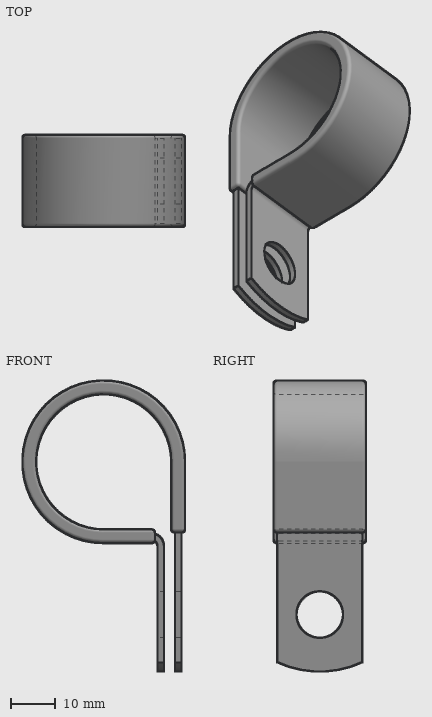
import cadquery as cq
import math


outer_diameter = 36.36
overall_height = 65.0
strap_thickness = 1.5
strap_width = 19.0
cushion_cover = 0.82
rounding_margin = 0.02
tab_gap = 2.38
vertical_leg_length = 15.8
horizontal_leg_length = 11.45
hole_diameter = 10.32
hole_drop = 34.07
tab_end_radius = 22.5

diagonal = math.sqrt(0.5)
outer_radius = outer_diameter / 2
cushion_thickness = strap_thickness + 2 * cushion_cover
cushion_width = strap_width + 2 * cushion_cover
edge_radius = cushion_cover - rounding_margin
strap_outer_radius = outer_radius - cushion_cover
tab_bottom = outer_radius - overall_height
bend_inner_radius = strap_thickness
bend_outer_radius = bend_inner_radius + strap_thickness
bent_tab_outer_x = strap_outer_radius - strap_thickness - tab_gap
bend_center_x = bent_tab_outer_x - bend_outer_radius
bend_center_z = -strap_outer_radius + strap_thickness - bend_outer_radius
half_width = strap_width / 2
tab_end_sagitta = tab_end_radius - math.sqrt(tab_end_radius**2 - half_width**2)


def loop_band(radius, thickness, width, right_leg, bottom_leg):
    """Three-quarter ring with a leg down its right side and a leg along its bottom."""
    inner = radius - thickness
    return (
        cq.Workplane("XZ")
        .moveTo(bottom_leg, -radius)
        .lineTo(0, -radius)
        .threePointArc((-radius * diagonal, radius * diagonal), (radius, 0))
        .lineTo(radius, -right_leg)
        .lineTo(inner, -right_leg)
        .lineTo(inner, 0)
        .threePointArc((-inner * diagonal, inner * diagonal), (0, -inner))
        .lineTo(bottom_leg, -inner)
        .close()
        .extrude(width / 2, both=True)
    )


def cushion():
    """Rubber cushion with rounded side and end edges."""
    band = loop_band(
        outer_radius, cushion_thickness, cushion_width, vertical_leg_length, horizontal_leg_length
    )
    middle_radius = outer_radius - cushion_thickness / 2
    vertical_leg_end = cq.NearestToPointSelector((middle_radius, 0, -vertical_leg_length))
    horizontal_leg_end = cq.NearestToPointSelector((horizontal_leg_length, 0, -middle_radius))
    side_edges = band.faces("|Y").edges()
    end_edges = band.faces(vertical_leg_end).edges("|Y").add(band.faces(horizontal_leg_end).edges("|Y"))
    return side_edges.add(end_edges).fillet(edge_radius)


def bent_tab():
    """Tab that turns down from the bottom leg of the strap."""
    return (
        cq.Workplane("XZ")
        .moveTo(bend_center_x, bend_center_z + bend_outer_radius)
        .threePointArc(
            (bend_center_x + bend_outer_radius * diagonal, bend_center_z + bend_outer_radius * diagonal),
            (bent_tab_outer_x, bend_center_z),
        )
        .lineTo(bent_tab_outer_x, tab_bottom)
        .lineTo(bent_tab_outer_x - strap_thickness, tab_bottom)
        .lineTo(bent_tab_outer_x - strap_thickness, bend_center_z)
        .threePointArc(
            (bend_center_x + bend_inner_radius * diagonal, bend_center_z + bend_inner_radius * diagonal),
            (bend_center_x, bend_center_z + bend_inner_radius),
        )
        .close()
        .extrude(half_width, both=True)
    )


def tab_outline():
    """Block with the tabs' rounded lower end and bolt hole, reaching above the part."""
    return (
        cq.Workplane("YZ")
        .moveTo(-half_width, outer_radius)
        .lineTo(-half_width, tab_bottom + tab_end_sagitta)
        .threePointArc((0, tab_bottom), (half_width, tab_bottom + tab_end_sagitta))
        .lineTo(half_width, outer_radius)
        .close()
        .extrude(outer_diameter, both=True)
        .cut(
            cq.Workplane("YZ")
            .center(0, -hole_drop)
            .circle(hole_diameter / 2)
            .extrude(outer_diameter, both=True)
        )
    )


def strap():
    """Metal strap: loop, straight tab on the right and bent tab beside it."""
    loop = loop_band(strap_outer_radius, strap_thickness, strap_width, -tab_bottom, bend_center_x)
    return loop.union(bent_tab()).intersect(tab_outline())


result = cushion().union(strap())